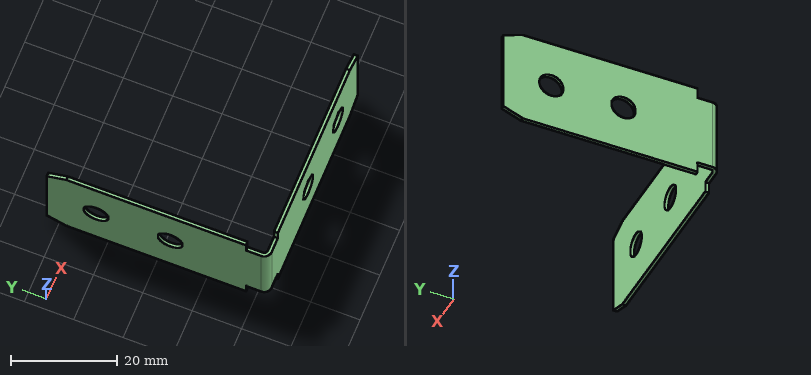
import cadquery as cq

leg_length = 45.0
width = 20.5
thickness = 0.8
bend_radius = 1.55
relief_end = 4.6
relief_depth = 2.3
tip_length = 4.0
tip_drop = 1.55
hole_diameter = 5.0
hole_distances = (20.0, 35.0)

half_width = width / 2
neck_half_width = half_width - relief_depth
tip_half_width = half_width - tip_drop
taper_start = leg_length - tip_length


def make_leg():
    """Flat leg along +X, its outer face on Y = 0, centred on Z = 0."""
    plate = (
        cq.Workplane("XZ")
        .moveTo(relief_end, -half_width)
        .lineTo(taper_start, -half_width)
        .lineTo(leg_length, -tip_half_width)
        .lineTo(leg_length, tip_half_width)
        .lineTo(taper_start, half_width)
        .lineTo(relief_end, half_width)
        .close()
        .extrude(-thickness)
    )
    holes = (
        cq.Workplane("XZ")
        .pushPoints([(distance, 0) for distance in hole_distances])
        .circle(hole_diameter / 2)
        .extrude(-thickness)
    )
    return plate.cut(holes)


def make_bend():
    """Narrow rounded neck joining the two legs at the corner."""
    inner_radius = bend_radius - thickness
    arm = relief_end - thickness
    outer = (
        cq.Workplane("XY")
        .workplane(offset=-neck_half_width)
        .rect(relief_end, relief_end, centered=False)
        .extrude(2 * neck_half_width)
        .edges("|Z and <X and <Y")
        .fillet(bend_radius)
    )
    inner = (
        cq.Workplane("XY", origin=(thickness, thickness, -neck_half_width))
        .rect(arm, arm, centered=False)
        .extrude(2 * neck_half_width)
        .edges("|Z and <X and <Y")
        .fillet(inner_radius)
    )
    return outer.cut(inner)


x_leg = make_leg()
y_leg = x_leg.rotate((0, 0, 0), (0, 0, 1), 90).mirror("YZ")

result = make_bend().union(x_leg).union(y_leg)